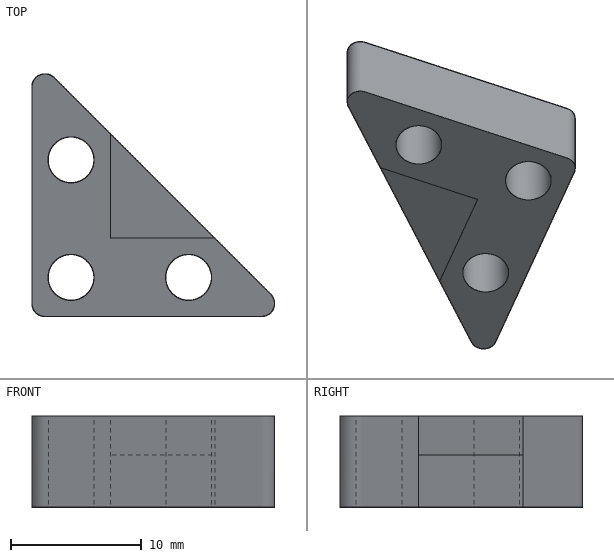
import cadquery as cq
import math

outer_side = 18.58
height = 7.0
corner_radius = 1.0
leg_width = 6.0
hole_diameter = 3.5
hole_spacing = 9.0
web_drop = 2.97

sharp_side = outer_side + math.sqrt(2) * corner_radius
hole_inset = leg_width / 2
web_height = height - web_drop
inner_end = sharp_side - leg_width


def make_bracket():
    """L-shaped bracket with slanted leg ends, rounded corners and three holes."""
    triangle = (
        cq.Workplane("XY")
        .polyline([(0, 0), (sharp_side, 0), (0, sharp_side)])
        .close()
        .extrude(height)
        .edges("|Z")
        .fillet(corner_radius)
    )
    notch = (
        cq.Workplane("XY")
        .rect(sharp_side, sharp_side, centered=False)
        .extrude(height)
        .translate((leg_width, leg_width, 0))
    )
    far_hole = hole_inset + hole_spacing
    hole_centers = [(hole_inset, hole_inset), (far_hole, hole_inset), (hole_inset, far_hole)]
    holes = (
        cq.Workplane("XY")
        .pushPoints(hole_centers)
        .circle(hole_diameter / 2)
        .extrude(height)
    )
    return triangle.cut(notch).cut(holes)


def make_web():
    """Triangular web that fills the lower part of the inner corner."""
    return (
        cq.Workplane("XY")
        .polyline([(leg_width, leg_width), (inner_end, leg_width), (leg_width, inner_end)])
        .close()
        .extrude(web_height)
    )


bracket = make_bracket()
web = make_web()

result = cq.Compound.makeCompound([bracket.solids().val(), web.val()])